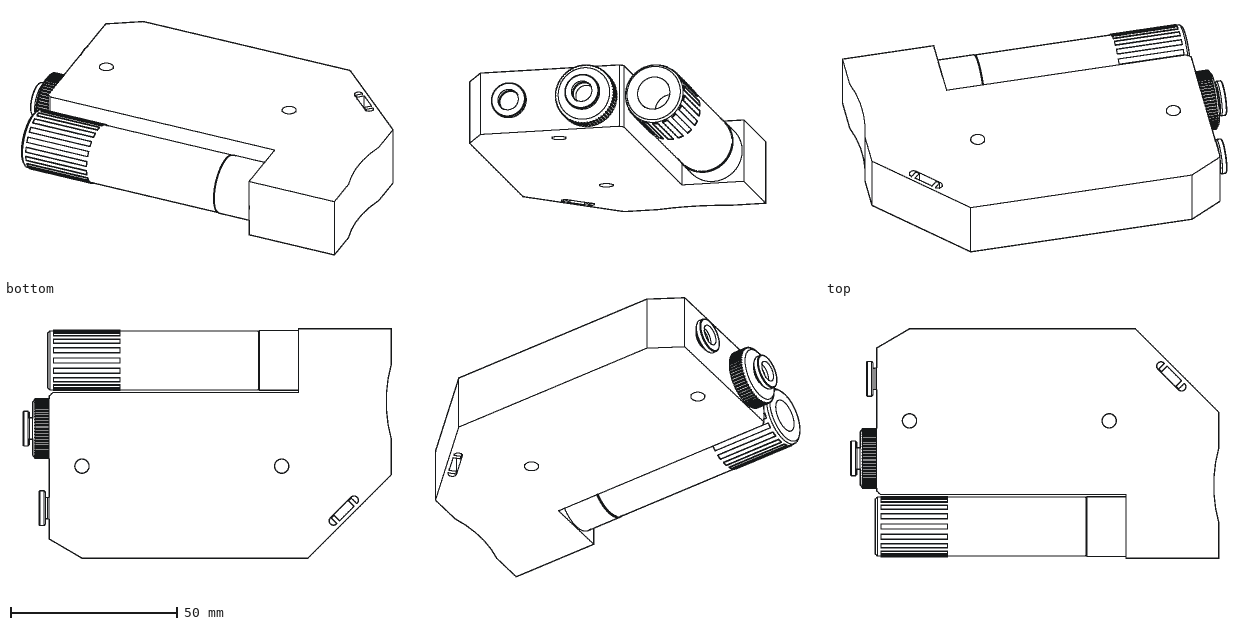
import cadquery as cq
import math


TOTAL_LENGTH = 110.8

BODY_LENGTH = 102.9
BODY_WIDTH = 69.0
THICKNESS = 19.0
ARM_FRONT_X = 74.9
ARM_INNER_Y = 19.2
ARM_CHAMFER = 1.1
SLOPE_X = 9.9
SLOPE_Y = 5.8
CORNER_CUT = 25.1
HOLLOW_LOW_Y = 10.6
HOLLOW_HIGH_Y = 33.2
HOLLOW_DEPTH = 1.5

MOUNT_DIAMETER = 4.2
MOUNT_Y = 41.3
MOUNT_XS = (9.9, 69.9)

SLOT_LENGTH = 11.3
SLOT_WIDTH = 2.5
SLOT_WALL = 1.2
LEG_SPAN = 8.5
LEG_THICKNESS = 1.2
LEG_GAP = 0.2

HANDLE_FRONT_X = -0.4
HANDLE_DIAMETER = 17.8
HANDLE_BORE = 10.0
HANDLE_BORE_DEPTH = 22.2
HANDLE_CHAMFER = 0.7
COLLAR_DIAMETER = 18.0
COLLAR_LENGTH = 12.0
COLLAR_CHAMFER = 0.3
RIB_COUNT = 18
RIB_DIAMETER = 18.3
RIB_START_X = 1.3
RIB_LENGTH = 19.9

KNOB_Y = 30.0
KNOB_LENGTH = 5.0
KNOB_DIAMETER = 18.0
KNOB_FACE_DIAMETER = 16.0
KNOB_BEVEL_LENGTH = 0.8
KNURL_COUNT = 60
KNURL_DEPTH = 0.2
KNURL_WIDTH = 0.4

DISC_DIAMETER = 10.5
DISC_LENGTH = 1.9
DISC_FRONT_CHAMFER = 0.2
DISC_BACK_CHAMFER = 0.4
NECK_DIAMETER = 6.5
SOCKET_BORE = 6.3
SIDE_SOCKET_Y = 53.9
SIDE_SOCKET_FRONT_X = -3.0
SIDE_BORE_DEPTH = 2.5
KNOB_SOCKET_FRONT_X = BODY_LENGTH - TOTAL_LENGTH
KNOB_BORE_DEPTH = 5.5


def rod(start_x, end_x, diameter, y):
    """Cylinder along X between two X positions."""
    plane = cq.Workplane("YZ", origin=(start_x, y, 0))
    return plane.circle(diameter / 2).extrude(end_x - start_x)


def around_x(shape, y, count):
    """Copies of a shape spread evenly around the X-wise axis at the given Y."""
    copies = cq.Workplane()
    for index in range(count):
        angle = index * 360 / count
        copies = copies.add(shape.rotate((0, y, 0), (1, y, 0), angle))
    return copies.combine()


def make_body():
    outline = (
        cq.Workplane("XY", origin=(0, 0, -THICKNESS / 2))
        .moveTo(ARM_FRONT_X, 0)
        .lineTo(BODY_LENGTH, 0)
        .lineTo(BODY_LENGTH, HOLLOW_LOW_Y)
        .threePointArc(
            (BODY_LENGTH - HOLLOW_DEPTH, (HOLLOW_LOW_Y + HOLLOW_HIGH_Y) / 2),
            (BODY_LENGTH, HOLLOW_HIGH_Y),
        )
        .lineTo(BODY_LENGTH, BODY_WIDTH - CORNER_CUT)
        .lineTo(BODY_LENGTH - CORNER_CUT, BODY_WIDTH)
        .lineTo(SLOPE_X, BODY_WIDTH)
        .lineTo(0, BODY_WIDTH - SLOPE_Y)
        .lineTo(0, ARM_INNER_Y + ARM_CHAMFER)
        .lineTo(ARM_CHAMFER, ARM_INNER_Y)
        .lineTo(ARM_FRONT_X, ARM_INNER_Y)
        .close()
    )
    body = outline.extrude(THICKNESS)
    mounts = (
        cq.Workplane("XY", origin=(0, 0, -THICKNESS / 2))
        .pushPoints([(x, MOUNT_Y) for x in MOUNT_XS])
        .circle(MOUNT_DIAMETER / 2)
        .extrude(THICKNESS)
    )
    return body.cut(mounts)


def corner_plane():
    """Plane on the lower face, centred on the corner cut: x runs along the cut, y points out of it."""
    middle_x = BODY_LENGTH - CORNER_CUT / 2
    middle_y = BODY_WIDTH - CORNER_CUT / 2
    return cq.Plane(origin=(middle_x, middle_y, -THICKNESS / 2), xDir=(1, -1, 0), normal=(0, 0, 1))


def make_strap_slot():
    slot = (
        cq.Workplane(corner_plane())
        .center(0, -SLOT_WALL - SLOT_WIDTH / 2)
        .slot2D(SLOT_LENGTH, SLOT_WIDTH)
        .extrude(THICKNESS)
    )
    leg_length = SLOT_WALL / 2 + SLOT_WIDTH - LEG_GAP
    leg_offset = (LEG_SPAN - LEG_THICKNESS) / 2
    legs = (
        cq.Workplane(corner_plane())
        .center(0, -SLOT_WALL / 2 - leg_length / 2)
        .pushPoints([(-leg_offset, 0), (leg_offset, 0)])
        .rect(LEG_THICKNESS, leg_length)
        .extrude(THICKNESS)
    )
    return slot.cut(legs)


def make_handle():
    axis_y = THICKNESS / 2
    collar_x = ARM_FRONT_X - COLLAR_LENGTH
    tube = rod(HANDLE_FRONT_X, collar_x, HANDLE_DIAMETER, axis_y).faces("<X").chamfer(HANDLE_CHAMFER)
    collar = rod(collar_x, ARM_FRONT_X, COLLAR_DIAMETER, axis_y).faces("<X").chamfer(COLLAR_CHAMFER)

    rib_width = RIB_DIAMETER * math.sin(math.pi / RIB_COUNT / 2)
    rib_bar = cq.Workplane("XY").box(RIB_LENGTH, rib_width, RIB_DIAMETER, centered=(False, True, False))
    rib_bars = around_x(rib_bar.translate((RIB_START_X, axis_y, 0)), axis_y, RIB_COUNT)
    ribs = rib_bars.intersect(rod(RIB_START_X, RIB_START_X + RIB_LENGTH, RIB_DIAMETER, axis_y))

    bore = rod(HANDLE_FRONT_X, HANDLE_FRONT_X + HANDLE_BORE_DEPTH, HANDLE_BORE, axis_y)
    return tube.union(collar).union(ribs).cut(bore)


def make_knob():
    bevel = (KNOB_DIAMETER - KNOB_FACE_DIAMETER) / 2
    knob = rod(-KNOB_LENGTH, 0, KNOB_DIAMETER, KNOB_Y)
    knob = knob.faces("<X").edges().chamfer(KNOB_BEVEL_LENGTH, bevel)
    radius = KNOB_DIAMETER / 2
    groove = (
        cq.Workplane("YZ", origin=(-KNOB_LENGTH, KNOB_Y, 0))
        .moveTo(0, radius - KNURL_DEPTH)
        .lineTo(KNURL_WIDTH / 2, radius)
        .lineTo(-KNURL_WIDTH / 2, radius)
        .close()
        .extrude(KNOB_LENGTH)
    )
    return knob.cut(around_x(groove, KNOB_Y, KNURL_COUNT))


def make_socket(front_x, base_x, y):
    """Disc with chamfered rims, on a neck that reaches to base_x."""
    back_x = front_x + DISC_LENGTH
    disc = rod(front_x, back_x, DISC_DIAMETER, y)
    disc = disc.faces("<X").chamfer(DISC_FRONT_CHAMFER)
    disc = disc.faces(">X").chamfer(DISC_BACK_CHAMFER)
    return disc.union(rod(back_x, base_x, NECK_DIAMETER, y))


def make_socket_bore(front_x, depth, y):
    return rod(front_x, front_x + depth, SOCKET_BORE, y)


result = (
    make_body()
    .cut(make_strap_slot())
    .union(make_handle())
    .union(make_knob())
    .union(make_socket(SIDE_SOCKET_FRONT_X, 0, SIDE_SOCKET_Y))
    .union(make_socket(KNOB_SOCKET_FRONT_X, -KNOB_LENGTH, KNOB_Y))
    .cut(make_socket_bore(SIDE_SOCKET_FRONT_X, SIDE_BORE_DEPTH, SIDE_SOCKET_Y))
    .cut(make_socket_bore(KNOB_SOCKET_FRONT_X, KNOB_BORE_DEPTH, KNOB_Y))
)